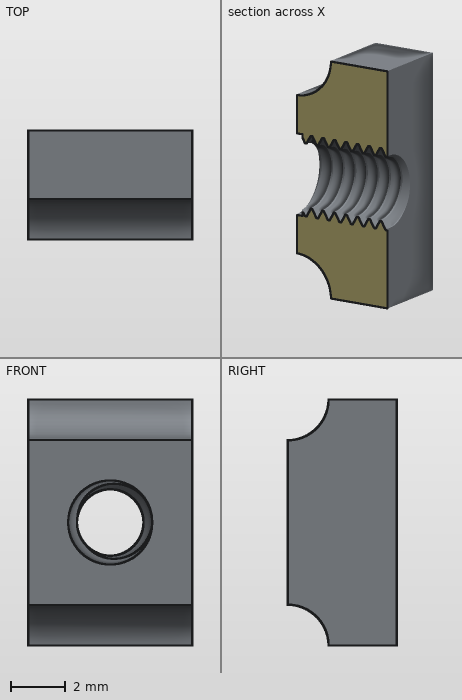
import cadquery as cq
import math

width = 6.0
depth = 4.0
height = 9.0
scallop_radius = 1.49

minor_diameter = 2.42
recess_diameter = 3.08
recess_depth = 0.25
root_diameter = 3.06
pitch = 0.5
flank_angle = 60.0
root_flat = 0.06
thread_phase = 18.0
tool_overlap = 0.03
core_seam_angle = 77.0


def scalloped_block():
    """Block with a concave quarter round along both long front edges."""
    block = cq.Workplane("XY").box(width, depth, height)
    scallops = (
        cq.Workplane("YZ", origin=(-width / 2, 0, 0))
        .pushPoints([(-depth / 2, -height / 2), (-depth / 2, height / 2)])
        .circle(scallop_radius)
        .extrude(width)
    )
    return block.cut(scallops)


def thread_groove():
    """Right-hand trapezoidal groove, running out through both ends of the hole."""
    root_radius = root_diameter / 2
    inner_radius = minor_diameter / 2 - tool_overlap
    flank_run = (root_radius - inner_radius) * math.tan(math.radians(flank_angle / 2))
    half_root = root_flat / 2
    half_opening = half_root + flank_run

    thread_length = depth - recess_depth
    turns_to_floor = math.ceil(thread_length / pitch) + 1
    start = thread_length - turns_to_floor * pitch
    helix_length = (turns_to_floor + 2) * pitch

    profile = [
        (root_radius, start - half_root),
        (root_radius, start + half_root),
        (inner_radius, start + half_opening),
        (inner_radius, start - half_opening),
    ]
    helices = [
        cq.Wire.makeHelix(pitch, helix_length, radius, center=cq.Vector(0, 0, z))
        for radius, z in profile
    ]
    faces = [
        cq.Face.makeRuledSurface(helices[i - 1], helices[i])
        for i in range(len(helices))
    ]
    for end_rise in (0, helix_length):
        corners = [cq.Vector(radius, 0, z + end_rise) for radius, z in profile]
        faces.append(cq.Face.makeFromWires(cq.Wire.makePolygon(corners, close=True)))
    groove = cq.Workplane(cq.Solid.makeSolid(cq.Shell.makeShell(faces)))

    groove = groove.rotate((0, 0, 0), (0, 0, 1), thread_phase)
    return groove.rotate((0, 0, 0), (1, 0, 0), 90).translate((0, depth / 2, 0))


def tapped_bore():
    """Minor bore and groove joined into one cutter that passes both faces."""
    overrun = 2 * pitch
    core = (
        cq.Workplane("XZ", origin=(0, depth / 2 + overrun, 0))
        .circle(minor_diameter / 2)
        .extrude(depth + 2 * overrun)
        .rotate((0, 0, 0), (0, 1, 0), core_seam_angle)
    )
    return thread_groove().union(core, clean=False)


def recess():
    """Shallow round recess at the front end of the thread."""
    front = cq.Workplane("XZ", origin=(0, -depth / 2, 0))
    return front.circle(recess_diameter / 2).extrude(-recess_depth)


result = (
    scalloped_block()
    .cut(tapped_bore(), clean=False)
    .cut(recess(), clean=False)
)